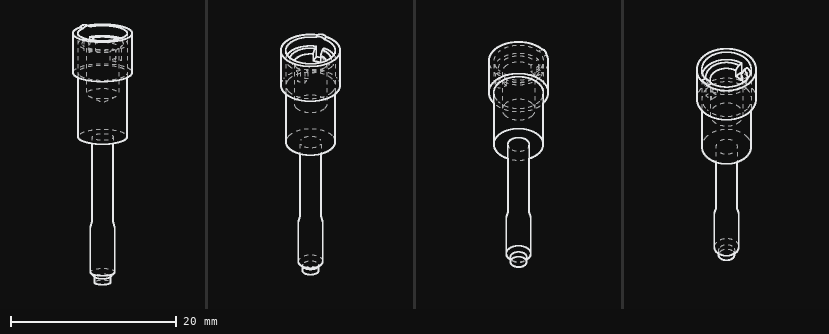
import cadquery as cq

total_height = 31.9

collar_diameter = 7.2
collar_height = 5.0
pointer_height = 0.2
pointer_width = 1.15
collar_top = total_height - pointer_height
collar_bottom = collar_top - collar_height

head_diameter = 6.0
shank_diameter = 2.58
thread_diameter = 3.0
tip_diameter = 1.98

tip_top = 0.75
thread_bottom = 1.3
thread_top = 6.95
shank_bottom = 7.72
head_bottom = 18.53
head_recess = 1.28
head_top = collar_top - head_recess

socket_diameter = 4.0
socket_depth = 6.38
socket_chamfer = 0.5
socket_cone_depth = 1.15
slot_width = 1.0
slot_depth = 1.5


def make_pointer():
    """Low round-topped ridge across the -X side of the collar rim."""
    half_width = pointer_width / 2
    ridge = (
        cq.Workplane("YZ")
        .moveTo(-half_width, collar_top)
        .threePointArc((0, total_height), (half_width, collar_top))
        .close()
        .extrude(-collar_diameter / 2)
    )
    rim = (
        cq.Workplane("XY", origin=(0, 0, collar_top))
        .circle(collar_diameter / 2)
        .circle(head_diameter / 2)
        .extrude(pointer_height)
    )
    return ridge.intersect(rim)


def make_collar():
    ring = (
        cq.Workplane("XY", origin=(0, 0, collar_bottom))
        .circle(collar_diameter / 2)
        .circle(head_diameter / 2)
        .extrude(collar_height)
    )
    return ring.union(make_pointer())


def revolve_profile(points):
    """Revolve (radius, height) points around the Z axis."""
    return cq.Workplane("XZ").polyline(points).close().revolve(360, (0, 0), (0, 1))


def make_screw_blank():
    head_radius = head_diameter / 2
    shank_radius = shank_diameter / 2
    thread_radius = thread_diameter / 2
    tip_radius = tip_diameter / 2
    return revolve_profile([
        (0, 0),
        (tip_radius, 0),
        (tip_radius, tip_top),
        (thread_radius, thread_bottom),
        (thread_radius, thread_top),
        (shank_radius, shank_bottom),
        (shank_radius, head_bottom),
        (head_radius, head_bottom),
        (head_radius, head_top),
        (0, head_top),
    ])


def make_socket_cutter():
    """Blind bore with a chamfered mouth and a conical bottom."""
    socket_radius = socket_diameter / 2
    socket_bottom = head_top - socket_depth
    return revolve_profile([
        (0, socket_bottom - socket_cone_depth),
        (socket_radius, socket_bottom),
        (socket_radius, head_top - socket_chamfer),
        (socket_radius + socket_chamfer, head_top),
        (0, head_top),
    ])


def make_slot_cutter():
    """Driver slot running along X across the full head."""
    return (
        cq.Workplane("XY", origin=(0, 0, head_top))
        .rect(collar_diameter, slot_width)
        .extrude(-slot_depth)
    )


def make_screw():
    return make_screw_blank().cut(make_socket_cutter()).cut(make_slot_cutter())


collar = make_collar()
screw = make_screw()
result = cq.Compound.makeCompound([collar.val(), screw.val()])